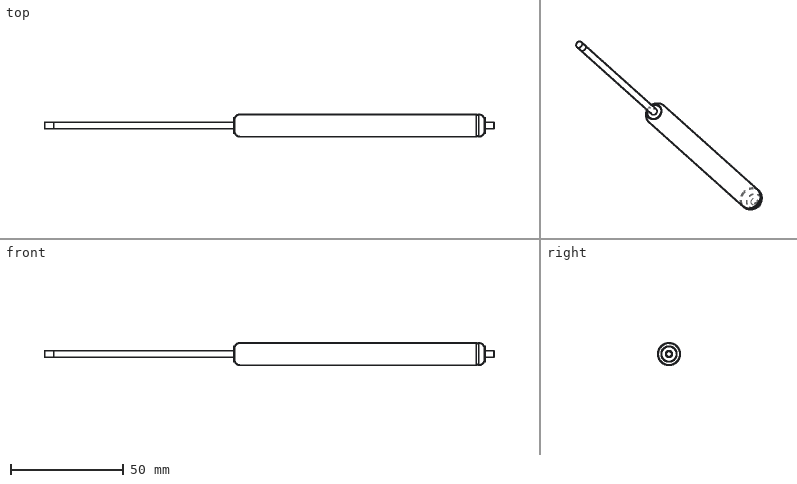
import cadquery as cq
import math


tip_length = 4.0
rod_length = 80.0
tube_length = 112.0
stud_length = 4.0

rod_diameter = 3.0
thread_diameter = 3.0
tube_diameter = 10.0
collar_diameter = 7.0
neck_diameter = 6.5

collar_length = 0.5
shoulder_inset = 3.0
shoulder_radius = 2.5

groove_width = 1.0
groove_depth = 0.3

stud_chamfer = 0.3

tube_start = tip_length + rod_length
tube_end = tube_start + tube_length
tube_radius = tube_diameter / 2
collar_radius = collar_diameter / 2
neck_radius = neck_diameter / 2


def cylinder_along_x(start, length, diameter):
    return cq.Workplane("YZ", origin=(start, 0, 0)).circle(diameter / 2).extrude(length)


def shoulder_middle():
    """Middle of the shoulder arc, as (distance in from the tube end, distance from the axis)."""
    run = shoulder_inset - collar_length
    rise = tube_radius - neck_radius
    chord = math.hypot(run, rise)
    bulge = shoulder_radius - math.sqrt(shoulder_radius**2 - (chord / 2) ** 2)
    inset = (collar_length + shoulder_inset) / 2 - bulge * rise / chord
    radius = (neck_radius + tube_radius) / 2 + bulge * run / chord
    return inset, radius


def make_tube():
    rod_side_neck = tube_start + collar_length
    rod_side_shoulder = tube_start + shoulder_inset
    stud_side_neck = tube_end - collar_length
    stud_side_shoulder = tube_end - shoulder_inset
    middle_inset, middle_radius = shoulder_middle()
    groove_start = stud_side_shoulder - groove_width
    groove_middle = stud_side_shoulder - groove_width / 2

    half_section = (
        cq.Workplane("XY")
        .moveTo(tube_start, 0)
        .lineTo(tube_start, collar_radius)
        .lineTo(rod_side_neck, collar_radius)
        .lineTo(rod_side_neck, neck_radius)
        .threePointArc((tube_start + middle_inset, middle_radius), (rod_side_shoulder, tube_radius))
        .lineTo(groove_start, tube_radius)
        .threePointArc((groove_middle, tube_radius - groove_depth), (stud_side_shoulder, tube_radius))
        .threePointArc((tube_end - middle_inset, middle_radius), (stud_side_neck, neck_radius))
        .lineTo(stud_side_neck, collar_radius)
        .lineTo(tube_end, collar_radius)
        .lineTo(tube_end, 0)
        .close()
    )
    return half_section.revolve(360, (0, 0, 0), (1, 0, 0))


def make_stud():
    return cylinder_along_x(tube_end, stud_length, thread_diameter).faces(">X").chamfer(stud_chamfer)


threaded_tip = cylinder_along_x(0, tip_length, thread_diameter)
rod = cylinder_along_x(tip_length, rod_length, rod_diameter)
tube = make_tube()
stud = make_stud()

result = cq.Compound.makeCompound([threaded_tip.val(), rod.val(), tube.val(), stud.val()])